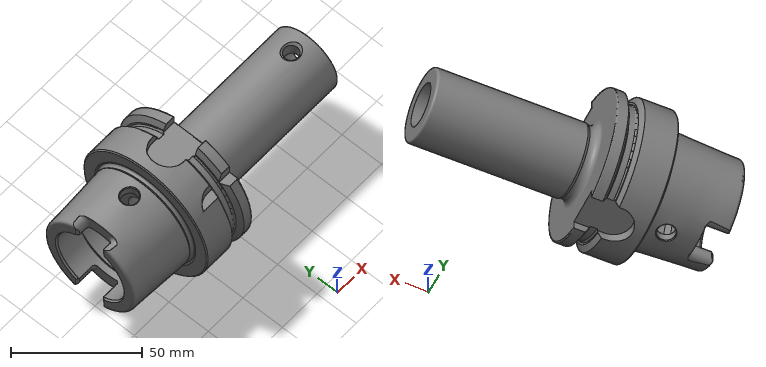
import cadquery as cq
import math

total_length = 126.0

flange_start = 32.0
taper_end = 30.1
gauge_position = 25.7
gauge_radius = 48.0 / 2
taper_slope = 0.05
tip_round = 1.3
relief_radius = 24.0
relief_start = 30.7
relief_round = 1.0
relief_round_start = 31.2
face_recess_outer_radius = 25.7

flange_radius = 31.5
flange_end = 58.0
flange_front_chamfer = 0.5
flange_rear_round = 0.5
groove_front = 46.4
groove_rear = 53.3
groove_floor_radius = 27.5
groove_corner_round = 0.6
groove_bevel_length = 1.5
groove_bevel_angle = 60

shank_radius = 31.0 / 2
neck_radius = 30.0 / 2
root_fillet = 3.0
neck_end = 61.9
shank_start = 62.9
shank_end_fillet = 1.0

mouth_chamfer_length = 0.9
mouth_chamfer_width = 0.5
mouth_radius = 34 / 2
mouth_depth = 13.1
chamber_radius = 40.0 / 2
chamber_cone_angle = 60
chamber_depth = 32.0
chamber_floor_fillet = 4.0
coolant_radius = 16.9 / 2
coolant_depth = 12.6
through_radius = 8.0 / 2
socket_radius = 18.0 / 2
socket_depth = 24.0

drive_half_width = 6.2
drive_flare_radius = 3.0
drive_shoulder_height = 20.8
drive_floor_fillet = 1.5
drive_mouth_chamfer = 1.0
drive_depth_top = 5.9
drive_depth_bottom = 10.0

key_radius = 8.1
key_center_x = 45.1
key_floor_height = 26.5
notch_wall_y = -20.0
notch_floor_height = 20.0

taper_hole_x = 22.9
taper_hole_diameter = 7.5
taper_hole_chamfer = 0.4
screw_hole_x = 116.4
screw_hole_diameter = 6.7
screw_countersink_diameter = 9.1
screw_countersink_angle = 45


def taper_radius(x):
    return gauge_radius + taper_slope * (x - gauge_position)


def outer_body():
    """Revolved outside: taper, relief, grooved flange and shank."""
    bevel_drop = groove_bevel_length * math.tan(math.radians(groove_bevel_angle))
    bevel_radius = flange_radius - bevel_drop
    tip_radius = taper_radius(tip_round) - tip_round
    root_end = flange_end + root_fillet
    relief_round_end = relief_round_start + relief_round
    wall_front = groove_front + groove_bevel_length
    wall_rear = groove_rear - groove_bevel_length
    corner_radius = groove_floor_radius + groove_corner_round
    profile = (
        cq.Workplane("XY")
        .lineTo(0, tip_radius)
        .radiusArc((tip_round, taper_radius(tip_round)), tip_round)
        .lineTo(taper_end, taper_radius(taper_end))
        .lineTo(relief_start, relief_radius)
        .lineTo(relief_round_start, relief_radius)
        .radiusArc((relief_round_end, relief_radius + relief_round), -relief_round)
        .lineTo(flange_start, face_recess_outer_radius)
        .lineTo(flange_start, flange_radius - flange_front_chamfer)
        .lineTo(flange_start + flange_front_chamfer, flange_radius)
        .lineTo(groove_front, flange_radius)
        .lineTo(wall_front, bevel_radius)
        .lineTo(wall_front, corner_radius)
        .radiusArc((wall_front + groove_corner_round, groove_floor_radius), -groove_corner_round)
        .lineTo(wall_rear - groove_corner_round, groove_floor_radius)
        .radiusArc((wall_rear, corner_radius), -groove_corner_round)
        .lineTo(wall_rear, bevel_radius)
        .lineTo(groove_rear, flange_radius)
        .lineTo(flange_end - flange_rear_round, flange_radius)
        .radiusArc((flange_end, flange_radius - flange_rear_round), flange_rear_round)
        .lineTo(flange_end, neck_radius + root_fillet)
        .radiusArc((root_end, neck_radius), -root_fillet)
        .lineTo(neck_end, neck_radius)
        .lineTo(shank_start, shank_radius)
        .lineTo(total_length, shank_radius)
        .lineTo(total_length, 0)
        .close()
    )
    body = profile.revolve(360, (0, 0, 0), (1, 0, 0))
    return body.faces(">X").edges().fillet(shank_end_fillet)


def bore():
    """Revolved inside: mouth, clamping chamber, coolant connection, through hole and shank socket."""
    cone_length = (chamber_radius - mouth_radius) / math.tan(math.radians(chamber_cone_angle))
    floor_radius = chamber_radius - chamber_floor_fillet
    fillet_start = chamber_depth - chamber_floor_fillet
    socket_floor = total_length - socket_depth
    coolant_end = chamber_depth + coolant_depth
    profile = (
        cq.Workplane("XY")
        .lineTo(0, mouth_radius + mouth_chamfer_width)
        .lineTo(mouth_chamfer_length, mouth_radius)
        .lineTo(mouth_depth, mouth_radius)
        .lineTo(mouth_depth + cone_length, chamber_radius)
        .lineTo(fillet_start, chamber_radius)
        .radiusArc((chamber_depth, floor_radius), chamber_floor_fillet)
        .lineTo(chamber_depth, coolant_radius)
        .lineTo(coolant_end, coolant_radius)
        .lineTo(coolant_end, through_radius)
        .lineTo(socket_floor, through_radius)
        .lineTo(socket_floor, socket_radius)
        .lineTo(total_length, socket_radius)
        .lineTo(total_length, 0)
        .close()
    )
    return profile.revolve(360, (0, 0, 0), (1, 0, 0))


def drive_slot(depth):
    """Cutter for the drive slot on the +Z side; its walls flare out to a flat shoulder."""
    flare_start = drive_shoulder_height - drive_flare_radius
    flare_end = drive_half_width + drive_flare_radius
    slot = (
        cq.Workplane("YZ")
        .moveTo(-drive_half_width, 0)
        .lineTo(-drive_half_width, flare_start)
        .radiusArc((-flare_end, drive_shoulder_height), -drive_flare_radius)
        .lineTo(-flange_radius, drive_shoulder_height)
        .lineTo(-flange_radius, flange_radius)
        .lineTo(flange_radius, flange_radius)
        .lineTo(flange_radius, drive_shoulder_height)
        .lineTo(flare_end, drive_shoulder_height)
        .radiusArc((drive_half_width, flare_start), -drive_flare_radius)
        .lineTo(drive_half_width, 0)
        .close()
        .extrude(depth)
    )
    slot = slot.faces(">X").edges().fillet(drive_floor_fillet)
    mouth_half_width = drive_half_width + drive_mouth_chamfer
    mouth = (
        cq.Workplane("XY")
        .polyline([
            (0, -mouth_half_width),
            (0, mouth_half_width),
            (drive_mouth_chamfer, drive_half_width),
            (drive_mouth_chamfer, -drive_half_width),
        ])
        .close()
        .extrude(flange_radius)
    )
    return slot.union(mouth)


def milled_slot(center_y, floor_height):
    """Round-ended cutter along X, open at the rear of the flange and upwards."""
    run = flange_end - key_center_x
    height = flange_radius - floor_height
    plane = cq.Workplane("XY", origin=(key_center_x, center_y, floor_height))
    straight = plane.box(run, 2 * key_radius, height, centered=(False, True, False))
    round_end = plane.circle(key_radius).extrude(height)
    return straight.union(round_end)


def taper_cross_hole():
    """Hole through both taper walls."""
    return (
        cq.Workplane("XY", origin=(taper_hole_x, 0, -flange_radius))
        .circle(taper_hole_diameter / 2)
        .extrude(2 * flange_radius)
    )


def taper_hole_rims():
    """Selector for the outer rims of the taper cross hole."""
    reach = taper_hole_diameter
    mid_wall = (chamber_radius + gauge_radius) / 2
    near_x = taper_hole_x - reach
    far_x = taper_hole_x + reach
    upper = cq.selectors.BoxSelector((near_x, -reach, mid_wall), (far_x, reach, flange_radius))
    lower = cq.selectors.BoxSelector((near_x, -reach, -flange_radius), (far_x, reach, -mid_wall))
    return upper + lower


def screw_hole():
    """Countersunk clamping screw hole from the +Z side of the shank into the socket."""
    countersink_width = (screw_countersink_diameter - screw_hole_diameter) / 2
    countersink_depth = countersink_width / math.tan(math.radians(screw_countersink_angle))
    hole = (
        cq.Workplane("XY", origin=(screw_hole_x, 0, 0))
        .circle(screw_hole_diameter / 2)
        .extrude(shank_radius)
    )
    rim = hole.faces(">Z").workplane().circle(screw_countersink_diameter / 2)
    return rim.extrude(-countersink_depth, taper=screw_countersink_angle)


def turned_over(cutter):
    return cutter.rotate((0, 0, 0), (1, 0, 0), 180)


keyway = milled_slot(0, key_floor_height)
notch = milled_slot(notch_wall_y - key_radius, notch_floor_height)

result = outer_body().cut(bore())
result = result.cut(drive_slot(drive_depth_top))
result = result.cut(turned_over(drive_slot(drive_depth_bottom)))
result = result.cut(keyway).cut(turned_over(keyway)).cut(notch)
result = result.cut(taper_cross_hole()).cut(screw_hole())
result = result.edges(taper_hole_rims()).chamfer(taper_hole_chamfer)